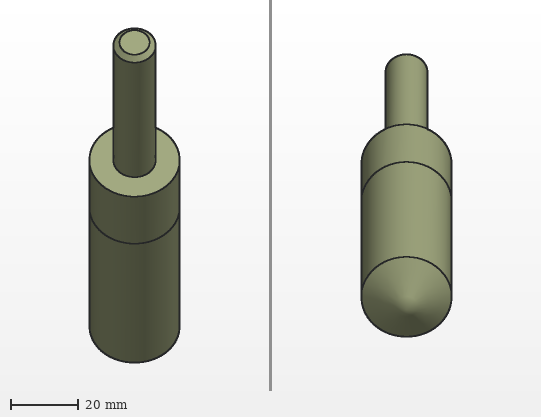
import cadquery as cq

total_length = 152.4
body_diameter = 27.0
shank_diameter = 12.6
point_height = 8.2
joint_height = 68.7
shoulder_height = 92.7
chamfer_width = 1.8
chamfer_height = 1.5

body_radius = body_diameter / 2
shank_radius = shank_diameter / 2


def make_tip():
    """Cylinder with a conical point at its lower end."""
    profile = (
        cq.Workplane("XZ")
        .moveTo(0, 0)
        .lineTo(body_radius, point_height)
        .lineTo(body_radius, joint_height)
        .lineTo(0, joint_height)
        .close()
    )
    return profile.revolve(360, (0, 0, 0), (0, 1, 0))


def make_holder():
    """Collar standing on the tip, with a slim shank chamfered at its top end."""
    profile = (
        cq.Workplane("XZ")
        .moveTo(0, joint_height)
        .lineTo(body_radius, joint_height)
        .lineTo(body_radius, shoulder_height)
        .lineTo(shank_radius, shoulder_height)
        .lineTo(shank_radius, total_length - chamfer_height)
        .lineTo(shank_radius - chamfer_width, total_length)
        .lineTo(0, total_length)
        .close()
    )
    return profile.revolve(360, (0, 0, 0), (0, 1, 0))


tip = make_tip()
holder = make_holder()

result = cq.Compound.makeCompound([tip.val(), holder.val()])